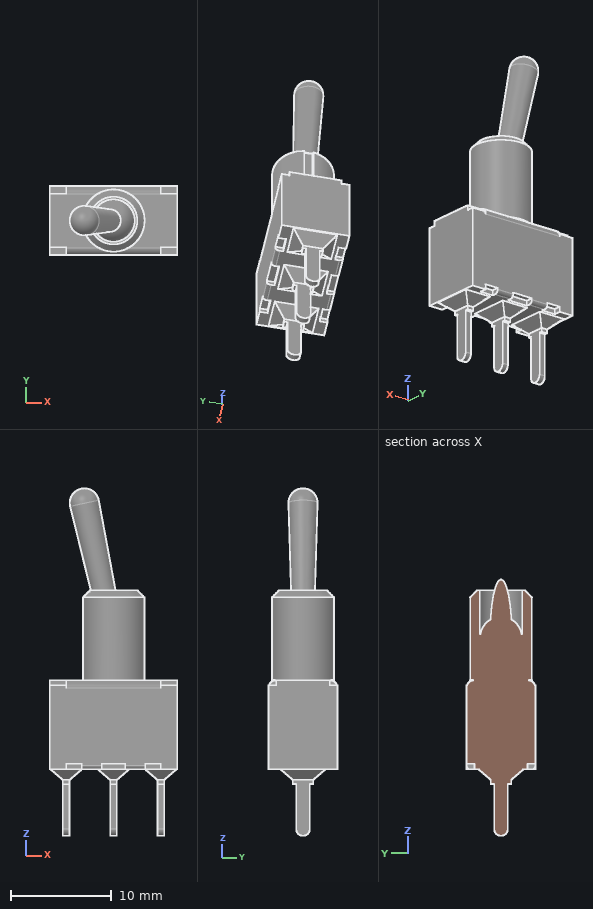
import cadquery as cq
import math


BODY_LENGTH = 12.7
BODY_WIDTH = 6.87
BODY_HEIGHT = 8.88
WALL = 0.8
LIP_LENGTH = 9.43
LIP_RADIUS = 0.75
STEP_DEPTH = 0.52
NOTCH_HEIGHT = 0.55
TAB_LENGTH = 1.97
TAB_OFFSET = 2.18
TAB_RADIUS = 0.4

BUSHING_DIAMETER = 6.18
BUSHING_HEIGHT = 8.95
BUSHING_CHAMFER = 0.73
BORE_DIAMETER = 4.2
BORE_DEPTH = 4.73
KEYWAY_WIDTH = 0.95
KEYWAY_FLOOR_X = 2.35
BUSHING_TOP = BODY_HEIGHT + BUSHING_HEIGHT

PIN_PITCH = 4.7
PIN_THICKNESS = 0.7
PIN_WIDTH = 1.38
PIN_DROP = 6.6
COLLAR_WIDTH = 2.05
COLLAR_HEIGHT = 0.4
FOOT_HEIGHT = 1.05
FOOT_FLARE = 1.2

OVERALL_HEIGHT = 34.55
LEVER_TILT = 12.2
TIP_DIAMETER = 2.95
LEVER_BASE_DIAMETER = 2.15
PIVOT_Z = BUSHING_TOP - BORE_DEPTH
TIP_CENTER_Z = OVERALL_HEIGHT - PIN_DROP - TIP_DIAMETER / 2
LEVER_LENGTH = (TIP_CENTER_Z - PIVOT_Z) / math.cos(math.radians(LEVER_TILT))


def block(length, width, height, x, y, z):
    """Box centred on x and y, standing on z."""
    return cq.Workplane("XY").box(length, width, height, centered=(True, True, False)).translate((x, y, z))


def make_body():
    """Box whose long walls end in a rounded lip on top and rounded tabs below."""
    body = block(BODY_LENGTH, BODY_WIDTH, BODY_HEIGHT, 0, 0, 0)
    lips = block(LIP_LENGTH, BODY_WIDTH, BODY_HEIGHT, 0, 0, 0)
    lips = lips.edges("|X and >Z").fillet(LIP_RADIUS)
    tab = block(TAB_LENGTH, BODY_WIDTH, BODY_HEIGHT / 2, 0, 0, 0)
    tab = tab.edges("|X and <Z").fillet(TAB_RADIUS)
    wall_y = (BODY_WIDTH - WALL) / 2
    for side in (-1, 1):
        y = side * wall_y
        body = body.cut(block(BODY_LENGTH, WALL, LIP_RADIUS, 0, y, BODY_HEIGHT - STEP_DEPTH))
        body = body.cut(block(LIP_LENGTH, WALL, LIP_RADIUS, 0, y, BODY_HEIGHT - LIP_RADIUS))
        body = body.cut(block(LIP_LENGTH, WALL, NOTCH_HEIGHT, 0, y, 0))
    body = body.union(lips.intersect(block(LIP_LENGTH, BODY_WIDTH, BODY_HEIGHT, 0, 0, BODY_HEIGHT / 2)))
    for side in (-1, 1):
        body = body.union(tab.translate((side * TAB_OFFSET, 0, 0)))
    return body


def make_bushing():
    """Chamfered sleeve with a blind bore and a keyway down its -X side."""
    bushing = cq.Workplane("XY").workplane(offset=BODY_HEIGHT).circle(BUSHING_DIAMETER / 2)
    bushing = bushing.extrude(BUSHING_HEIGHT).faces(">Z").chamfer(BUSHING_CHAMFER)
    bore = cq.Workplane("XY").workplane(offset=PIVOT_Z).circle(BORE_DIAMETER / 2).extrude(BORE_DEPTH)
    keyway_x = -(KEYWAY_FLOOR_X + BUSHING_DIAMETER / 2)
    keyway = block(BUSHING_DIAMETER, KEYWAY_WIDTH, BUSHING_HEIGHT, keyway_x, 0, BODY_HEIGHT)
    return bushing.cut(bore).cut(keyway)


def make_lever():
    """Tapered round-tipped lever leaning toward -X out of a half-ball pivot."""
    tip_radius = TIP_DIAMETER / 2
    arm = (
        cq.Workplane("XZ")
        .lineTo(LEVER_BASE_DIAMETER / 2, 0)
        .lineTo(tip_radius, LEVER_LENGTH)
        .radiusArc((0, LEVER_LENGTH + tip_radius), -tip_radius)
        .close()
        .revolve(360, (0, 0, 0), (0, 1, 0))
        .rotate((0, 0, 0), (0, 1, 0), -LEVER_TILT)
    )
    arm = arm.intersect(block(BODY_LENGTH, BODY_WIDTH, OVERALL_HEIGHT, 0, 0, 0))
    pivot = cq.Workplane("XY").sphere(BORE_DIAMETER / 2, angle1=0)
    return arm.union(pivot).translate((0, 0, PIVOT_Z))


def make_pin():
    """Flat pin with a full-round end, a collar and a flared foot under the body."""
    foot = (
        cq.Workplane("XY")
        .rect(PIN_THICKNESS + 2 * FOOT_FLARE, COLLAR_WIDTH + 2 * FOOT_FLARE)
        .workplane(offset=-FOOT_HEIGHT)
        .rect(PIN_THICKNESS, COLLAR_WIDTH)
        .loft(ruled=True)
    )
    collar_bottom = -(FOOT_HEIGHT + COLLAR_HEIGHT)
    collar = block(PIN_THICKNESS, COLLAR_WIDTH, COLLAR_HEIGHT, 0, 0, collar_bottom)
    half_width = PIN_WIDTH / 2
    round_z = half_width - PIN_DROP
    blade = (
        cq.Workplane("YZ")
        .moveTo(-half_width, collar_bottom)
        .lineTo(-half_width, round_z)
        .threePointArc((0, -PIN_DROP), (half_width, round_z))
        .lineTo(half_width, collar_bottom)
        .close()
        .extrude(PIN_THICKNESS / 2, both=True)
    )
    return foot.union(collar).union(blade)


result = make_body().union(make_bushing()).union(make_lever())
for position in (-1, 0, 1):
    result = result.union(make_pin().translate((position * PIN_PITCH, 0, 0)))